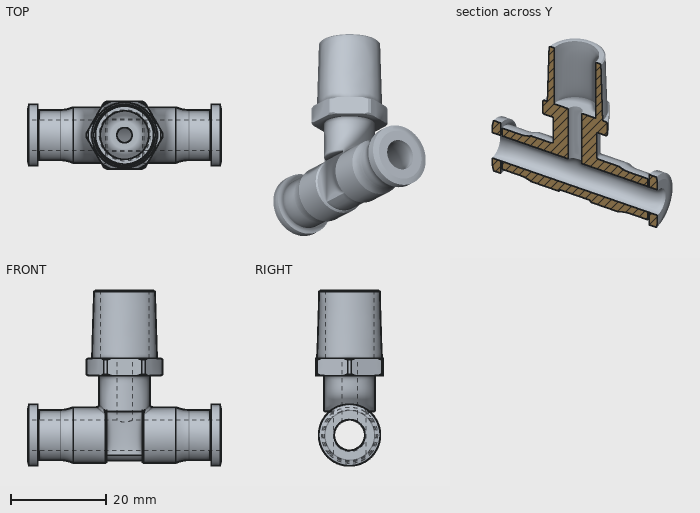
import cadquery as cq
import math


run_half_length = 20.395
run_bore_radius = 3.2
body_radius = 5.9
body_half_length = 10.8
neck_radius = 5.32
neck_start = 13.47
neck_end = 18.0

collar_radius = 6.5
collar_inner_face = 18.2
collar_bevel_length = 0.3
collar_face_radius = 5.23
collar_groove_radius = 3.4

waist_radius = 5.45
waist_half_width = 3.7
flat_offset = 3.4
shoulder_bevel = 0.3

stem_radius = 5.375
stem_underside = 4.95
stem_underside_fillet = 0.3
stem_root_fillet = 0.5

hex_across_flats = 14.3
hex_corner_radius = 8.03
hex_bottom = 12.5
hex_height = 3.66
hex_face_radius = 7.65
hex_bevel_height = 0.3
hex_top = hex_bottom + hex_height

thread_top = 30.46
thread_base_radius = 6.88
taper_per_side = 1 / 32
thread_lip_radius = 6.1
thread_bevel_height = 0.3
thread_bevel_start = thread_top - thread_bevel_height
thread_tip_radius = thread_base_radius - taper_per_side * (thread_bevel_start - hex_top)

socket_radius = 5.1
socket_floor = hex_top
branch_bore_radius = 1.6

pick_margin = 0.05


def cylinder_along_x(radius, half_length):
    return cq.Workplane("YZ").circle(radius).extrude(half_length, both=True)


def run_half():
    """Solid of revolution for the +X half of the run."""
    flare_length = neck_start - body_half_length
    flare_rise = body_radius - neck_radius
    flare_radius = (flare_length**2 + flare_rise**2) / (2 * flare_rise)
    half_angle = math.asin(flare_length / flare_radius) / 2
    flare_mid = (
        neck_start - flare_radius * math.sin(half_angle),
        neck_radius + flare_radius * (1 - math.cos(half_angle)),
    )
    return (
        cq.Workplane("XY")
        .moveTo(0, 0)
        .lineTo(0, body_radius)
        .lineTo(body_half_length, body_radius)
        .threePointArc(flare_mid, (neck_start, neck_radius))
        .lineTo(neck_end, neck_radius)
        .lineTo(neck_end, collar_groove_radius)
        .lineTo(collar_inner_face, collar_groove_radius)
        .lineTo(collar_inner_face, collar_radius)
        .lineTo(run_half_length - collar_bevel_length, collar_radius)
        .lineTo(run_half_length, collar_face_radius)
        .lineTo(run_half_length, 0)
        .close()
        .revolve(360, (0, 0, 0), (1, 0, 0))
    )


def run_with_stem():
    """Run and stem joined, with a fillet around the stem root."""
    half = run_half()
    run = half.union(half.mirror("YZ")).clean()
    stem = cq.Workplane("XY").circle(stem_radius).extrude(hex_bottom)
    body = run.union(stem)
    reach = stem_radius + pick_margin
    lowest_root = math.sqrt(body_radius**2 - stem_radius**2)
    root = cq.selectors.BoxSelector(
        (-reach, -reach, lowest_root - pick_margin),
        (reach, reach, body_radius + pick_margin),
    )
    return body.edges(root).fillet(stem_root_fillet)


def waist_cutter():
    """Material removed around the waist, below the stem underside."""
    reach = 2 * body_radius
    flats = cq.Workplane("XY").box(reach, 2 * flat_offset, 2 * reach)
    core = cylinder_along_x(waist_radius, waist_half_width).intersect(flats)
    wall_between_flats = (
        cq.Workplane("XY").rect(2 * waist_half_width, 2 * flat_offset).extrude(reach)
    )
    block = (
        cq.Workplane("XY")
        .workplane(offset=-reach)
        .rect(2 * waist_half_width, 2 * reach)
        .extrude(reach + stem_underside)
    )
    return block.cut(core.union(wall_between_flats))


def round_stem_underside(body):
    """Fillet the two stem arcs that overhang the flats."""
    reach = stem_radius + pick_margin
    underside = cq.selectors.BoxSelector(
        (-reach, -reach, stem_underside - pick_margin),
        (reach, reach, stem_underside + pick_margin),
    )
    return body.edges(underside).edges("%CIRCLE").fillet(stem_underside_fillet)


def shoulder_bevel_cutter():
    """Ring that bevels both shoulder edges beside the waist, clear of the stem."""
    bevel_end = waist_half_width + shoulder_bevel
    bevel_base = body_radius - shoulder_bevel
    rim = body_radius + shoulder_bevel
    ring = (
        cq.Workplane("XY")
        .moveTo(-waist_half_width, bevel_base)
        .lineTo(waist_half_width, bevel_base)
        .lineTo(bevel_end + shoulder_bevel, rim)
        .lineTo(-bevel_end - shoulder_bevel, rim)
        .close()
        .revolve(360, (0, 0, 0), (1, 0, 0))
    )
    stem_clearance = cq.Workplane("XY").circle(stem_radius).extrude(hex_bottom)
    return ring.cut(stem_clearance)


def hexagon():
    """Hexagon with flats facing +Y and -Y and turned, bevelled corners."""
    prism = (
        cq.Workplane("XY")
        .workplane(offset=hex_bottom)
        .polygon(6, hex_across_flats / math.cos(math.pi / 6))
        .extrude(hex_height)
    )
    turned_blank = (
        cq.Workplane("XZ")
        .moveTo(0, hex_bottom)
        .lineTo(hex_face_radius, hex_bottom)
        .lineTo(hex_corner_radius, hex_bottom + hex_bevel_height)
        .lineTo(hex_corner_radius, hex_top - hex_bevel_height)
        .lineTo(hex_face_radius, hex_top)
        .lineTo(0, hex_top)
        .close()
        .revolve(360, (0, 0, 0), (0, 1, 0))
    )
    return prism.intersect(turned_blank)


def thread_body():
    return (
        cq.Workplane("XZ")
        .moveTo(0, hex_top)
        .lineTo(thread_base_radius, hex_top)
        .lineTo(thread_tip_radius, thread_bevel_start)
        .lineTo(thread_lip_radius, thread_top)
        .lineTo(0, thread_top)
        .close()
        .revolve(360, (0, 0, 0), (0, 1, 0))
    )


def bores():
    run_bore = cylinder_along_x(run_bore_radius, run_half_length)
    branch_bore = cq.Workplane("XY").circle(branch_bore_radius).extrude(thread_top)
    socket = (
        cq.Workplane("XY")
        .workplane(offset=socket_floor)
        .circle(socket_radius)
        .extrude(thread_top - socket_floor)
    )
    return run_bore.union(branch_bore).union(socket)


body = round_stem_underside(run_with_stem().cut(waist_cutter()))
body = body.cut(shoulder_bevel_cutter())
result = body.union(hexagon()).union(thread_body()).cut(bores())